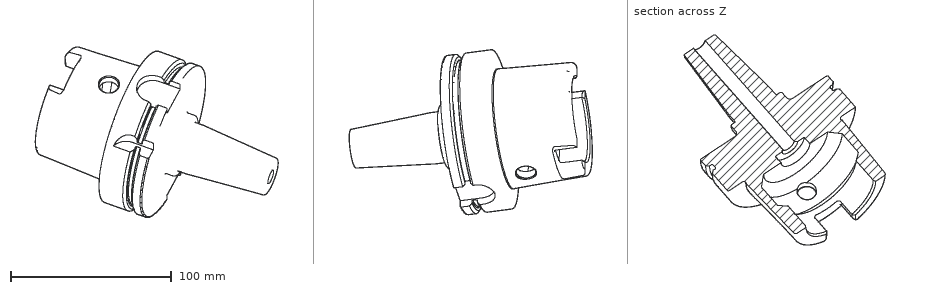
import cadquery as cq
import math

LENGTH = 145.0

SHANK_LENGTH = 50.0
SHANK_END_RADIUS = 35.7
SHANK_BIG_RADIUS = 37.7
TAPER_LENGTH = 47.7
SHANK_END_ROUND = 1.9
RELIEF_ROUND = 1.5
RELIEF_RADIUS = 37.4

FLANGE_RADIUS = 50.0
FLANGE_THICKNESS = 29.0
FLANGE_END = SHANK_LENGTH + FLANGE_THICKNESS
FLANGE_FRONT_ROUND = 0.6
FLANGE_BACK_ROUND = 0.9

GROOVE_CENTER = 69.7
GROOVE_MOUTH_WIDTH = 6.7
GROOVE_WIDTH = 3.5
GROOVE_LIP_DEPTH = 1.9
GROOVE_RADIUS = 46.0
GROOVE_ROOT_ROUND = 0.6

COLLAR_RADIUS = 20.0
COLLAR_END = 87.1
COLLAR_FILLET = 2.8
COLLAR_ROUND = 1.3
NECK_RADIUS = 16.1
NECK_END = 94.0
NOSE_START_FILLET = 0.7
TIP_RADIUS = 12.2
TIP_ROUND = 0.9

MOUTH_RADIUS = 26.5
MOUTH_CHAMFER_DEPTH = 1.6
MOUTH_CHAMFER_WIDTH = 0.7
MOUTH_DEPTH = 19.3
CAVITY_RADIUS = 31.5
CAVITY_CONE_ANGLE = 50.0
SHOULDER_START = 39.9
CAVITY_DEPTH = 46.4
FLOOR_RADIUS = 25.0
POCKET_RADIUS = 11.2
POCKET_DEPTH = 52.2
THROUGH_RADIUS = 4.42
THROUGH_MOUTH_RADIUS = 6.02

DRIVE_HALF_WIDTH = 9.9
DRIVE_FLARE_START = 27.3
DRIVE_FLARE_RADIUS = 5.0
DRIVE_FLOOR_FILLET = 1.9
DRIVE_DEPTH_TOP = 10.0
DRIVE_DEPTH_BOTTOM = 15.1
DRIVE_MOUTH_CHAMFER_DEPTH = 1.3
DRIVE_MOUTH_CHAMFER_WIDTH = 1.7

CROSS_HOLE_X = 35.0
CROSS_HOLE_RADIUS = 6.02
CROSS_HOLE_MOUTH_RADIUS = 6.6

KEYWAY_RADIUS = 10.0
KEYWAY_CENTER_X = 64.8
KEYWAY_FLOOR = 44.0
NOTCH_WALL_Y = -31.3
NOTCH_FLOOR = 31.8

CLEAR = 7.2


def revolve_about_x(profile):
    """Turn a closed X-radius outline about the X axis."""
    return profile.close().revolve(360, (0, 0, 0), (1, 0, 0))


def round_edge_at(body, x, radius, size):
    """Round the full circular edge of the given radius at position x."""
    span = 0.01
    outer = radius + span
    box = cq.selectors.BoxSelector((x - span, -outer, -outer), (x + span, outer, outer), boundingbox=True)
    inner = radius - span
    core = cq.selectors.BoxSelector((x - span, -inner, -inner), (x + span, inner, inner), boundingbox=True)
    return body.edges(box - core).fillet(size)


def outer_body():
    profile = (
        cq.Workplane("XY")
        .lineTo(0, SHANK_END_RADIUS)
        .lineTo(TAPER_LENGTH, SHANK_BIG_RADIUS)
        .lineTo(SHANK_LENGTH - RELIEF_ROUND, RELIEF_RADIUS)
        .radiusArc((SHANK_LENGTH, RELIEF_RADIUS + RELIEF_ROUND), -RELIEF_ROUND)
        .lineTo(SHANK_LENGTH, FLANGE_RADIUS)
        .lineTo(FLANGE_END, FLANGE_RADIUS)
        .lineTo(FLANGE_END, COLLAR_RADIUS)
        .lineTo(COLLAR_END, COLLAR_RADIUS)
        .lineTo(COLLAR_END, NECK_RADIUS)
        .lineTo(NECK_END, NECK_RADIUS)
        .lineTo(LENGTH, TIP_RADIUS)
        .lineTo(LENGTH, 0)
    )
    body = revolve_about_x(profile)
    for x, radius, size in (
        (0, SHANK_END_RADIUS, SHANK_END_ROUND),
        (SHANK_LENGTH, FLANGE_RADIUS, FLANGE_FRONT_ROUND),
        (FLANGE_END, FLANGE_RADIUS, FLANGE_BACK_ROUND),
        (FLANGE_END, COLLAR_RADIUS, COLLAR_FILLET),
        (COLLAR_END, COLLAR_RADIUS, COLLAR_ROUND),
        (COLLAR_END, NECK_RADIUS, NOSE_START_FILLET),
        (LENGTH, TIP_RADIUS, TIP_ROUND),
    ):
        body = round_edge_at(body, x, radius, size)
    return body


def gripper_groove():
    mouth = GROOVE_MOUTH_WIDTH / 2
    wall = GROOVE_WIDTH / 2
    lip_radius = FLANGE_RADIUS - GROOVE_LIP_DEPTH
    profile = (
        cq.Workplane("XY")
        .moveTo(GROOVE_CENTER - mouth, FLANGE_RADIUS + CLEAR)
        .lineTo(GROOVE_CENTER - mouth, FLANGE_RADIUS)
        .lineTo(GROOVE_CENTER - wall, lip_radius)
        .lineTo(GROOVE_CENTER - wall, GROOVE_RADIUS)
        .lineTo(GROOVE_CENTER + wall, GROOVE_RADIUS)
        .lineTo(GROOVE_CENTER + wall, lip_radius)
        .lineTo(GROOVE_CENTER + mouth, FLANGE_RADIUS)
        .lineTo(GROOVE_CENTER + mouth, FLANGE_RADIUS + CLEAR)
    )
    ring = revolve_about_x(profile)
    for x in (GROOVE_CENTER - wall, GROOVE_CENTER + wall):
        ring = round_edge_at(ring, x, GROOVE_RADIUS, GROOVE_ROOT_ROUND)
    return ring


def bore():
    slope = math.tan(math.radians(CAVITY_CONE_ANGLE))
    cavity_start = MOUTH_DEPTH + (CAVITY_RADIUS - MOUTH_RADIUS) / slope
    throat_end = POCKET_DEPTH + THROUGH_MOUTH_RADIUS - THROUGH_RADIUS
    profile = (
        cq.Workplane("XY")
        .lineTo(0, MOUTH_RADIUS + MOUTH_CHAMFER_WIDTH)
        .lineTo(MOUTH_CHAMFER_DEPTH, MOUTH_RADIUS)
        .lineTo(MOUTH_DEPTH, MOUTH_RADIUS)
        .lineTo(cavity_start, CAVITY_RADIUS)
        .lineTo(SHOULDER_START, CAVITY_RADIUS)
        .lineTo(CAVITY_DEPTH, FLOOR_RADIUS)
        .lineTo(CAVITY_DEPTH, POCKET_RADIUS)
        .lineTo(POCKET_DEPTH, POCKET_RADIUS)
        .lineTo(POCKET_DEPTH, THROUGH_MOUTH_RADIUS)
        .lineTo(throat_end, THROUGH_RADIUS)
        .lineTo(LENGTH, THROUGH_RADIUS)
        .lineTo(LENGTH, 0)
    )
    return revolve_about_x(profile)


def drive_slot(depth):
    """Slot on the +Z side: straight walls that flare outward, a filleted floor and a chamfered mouth."""
    flare_y = DRIVE_HALF_WIDTH + DRIVE_FLARE_RADIUS
    flare_z = DRIVE_FLARE_START + DRIVE_FLARE_RADIUS
    turn = DRIVE_FLARE_RADIUS * math.sqrt(0.5)
    side = SHANK_BIG_RADIUS
    top = SHANK_BIG_RADIUS + CLEAR
    slot = (
        cq.Workplane("YZ")
        .moveTo(-DRIVE_HALF_WIDTH, 0)
        .lineTo(-DRIVE_HALF_WIDTH, DRIVE_FLARE_START)
        .threePointArc((-flare_y + turn, DRIVE_FLARE_START + turn), (-flare_y, flare_z))
        .lineTo(-side, flare_z)
        .lineTo(-side, top)
        .lineTo(side, top)
        .lineTo(side, flare_z)
        .lineTo(flare_y, flare_z)
        .threePointArc((flare_y - turn, DRIVE_FLARE_START + turn), (DRIVE_HALF_WIDTH, DRIVE_FLARE_START))
        .lineTo(DRIVE_HALF_WIDTH, 0)
        .close()
        .extrude(depth)
    )
    slot = slot.faces(">X").edges().fillet(DRIVE_FLOOR_FILLET)
    mouth_half = DRIVE_HALF_WIDTH + DRIVE_MOUTH_CHAMFER_WIDTH
    mouth = (
        cq.Workplane("XY")
        .moveTo(0, -mouth_half)
        .lineTo(0, mouth_half)
        .lineTo(DRIVE_MOUTH_CHAMFER_DEPTH, DRIVE_HALF_WIDTH)
        .lineTo(DRIVE_MOUTH_CHAMFER_DEPTH, -DRIVE_HALF_WIDTH)
        .close()
        .extrude(top)
    )
    return slot.union(mouth)


def cross_hole():
    rim = SHANK_END_RADIUS + (SHANK_BIG_RADIUS - SHANK_END_RADIUS) * CROSS_HOLE_X / TAPER_LENGTH
    hole = cq.Workplane("XY").center(CROSS_HOLE_X, 0).circle(CROSS_HOLE_RADIUS).extrude(rim + CLEAR, both=True)
    step = CROSS_HOLE_MOUTH_RADIUS - CROSS_HOLE_RADIUS
    sink = (
        cq.Workplane("XZ")
        .moveTo(CROSS_HOLE_X, rim - 2 * step)
        .lineTo(CROSS_HOLE_X + CROSS_HOLE_RADIUS, rim - 2 * step)
        .lineTo(CROSS_HOLE_X + CROSS_HOLE_MOUTH_RADIUS, rim - step)
        .lineTo(CROSS_HOLE_X + CROSS_HOLE_MOUTH_RADIUS, rim + CLEAR)
        .lineTo(CROSS_HOLE_X, rim + CLEAR)
        .close()
        .revolve(360, (CROSS_HOLE_X, 0, 0), (CROSS_HOLE_X, 1, 0))
    )
    return hole.union(sink).union(sink.mirror("XY"))


def flange_cutter(center_y, floor):
    """Round-ended slot cutter standing on the given floor and open toward +X."""
    run = FLANGE_END + CLEAR - KEYWAY_CENTER_X
    height = FLANGE_RADIUS + CLEAR - floor
    end = cq.Workplane("XY", origin=(KEYWAY_CENTER_X, center_y, floor)).circle(KEYWAY_RADIUS).extrude(height)
    straight = cq.Workplane("XY").box(run, 2 * KEYWAY_RADIUS, height, centered=(False, True, False))
    return end.union(straight.translate((KEYWAY_CENTER_X, center_y, floor)))


keyway = flange_cutter(0, KEYWAY_FLOOR)
corner_notch = flange_cutter(NOTCH_WALL_Y - KEYWAY_RADIUS, NOTCH_FLOOR)

result = (
    outer_body()
    .cut(gripper_groove())
    .cut(bore())
    .cut(drive_slot(DRIVE_DEPTH_TOP))
    .cut(drive_slot(DRIVE_DEPTH_BOTTOM).mirror("XY"))
    .cut(cross_hole())
    .cut(keyway)
    .cut(keyway.mirror("XY"))
    .cut(corner_notch)
)